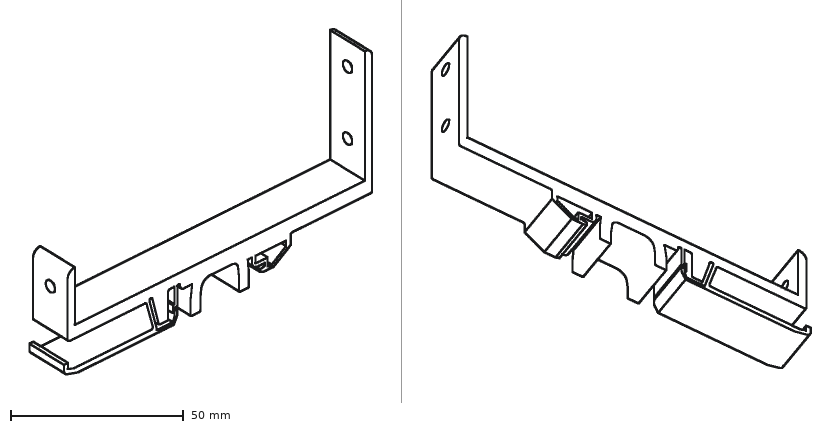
import cadquery as cq
import math


WIDTH = 15.0
LENGTH = 120.1
HEIGHT = 62.0
EMBED = 1.2

WALL = 2.9
BASE_TOP = 17.0
SHORT_WALL_Y = 1.5
SHORT_WALL_TOP = 37.0
WALL_TOP_R = 2.8
FRONT_CORNER_R = 0.8
REAR_CORNER_R = 0.6

FRONT_UNDERSIDE = 12.4
MIDDLE_UNDERSIDE = 10.9
JAW_ROOT = 9.8
REAR_UNDERSIDE = 11.6
MIDDLE_EDGE_R = 1.3

HOLE_D = 4.0
HOLE_HEIGHTS = (28.0, 53.0)

JAW_OUTER_Y = 88.4
JAW_INNER_Y = 73.3
JAW_BOTTOM = 2.9
JAW_SHELF_BOTTOM = 5.8
JAW_KNEE = 7.6
JAW_BEND_R = 2.2
JAW_SKIN = 1.5
JAW_NOSE_Y = (77.8, 81.7)
JAW_TIP_Y = 76.5
JAW_TIP_Z = (3.4, 4.3)
JAW_NECK = (78.3, 4.8)
JAW_WINDOW_Y = (79.4, 81.0, 86.6)
JAW_WINDOW_FLOOR = 4.0
JAW_WINDOW_KNEE = 7.9

LEG_KNEE = 5.2
LEG_TIP_R = 0.5
REAR_LEG = (68.2, 72.0)
REAR_LEG_TOP = (67.6, 71.7)
REAR_LEG_ROOT_R = 2.4
FRONT_LEG = (49.2, 53.2)
FRONT_LEG_TOP = (50.0, 53.9)
FRONT_LEG_ROOT_R = 3.6
LEG_ROOT_RUN = 4.8

STRIP_Y = 44.2
STRIP_SKIN = 1.1
RELIEF_WIDTH = 1.1
POCKET_TOP = 13.1
NOTCH_BOTTOM = 4.8
NOTCH_TOP = 5.8
BULGE_BOTTOM = 4.2
BULGE_TOP = 7.0
BULGE_DEPTH = 0.7
HEEL_TOP = 2.8
HEEL_Y = 42.8
HEEL_R = 2.4
LEVER_TOP = 2.2
LEVER_BEND_Y = 5.4
LEVER_RISE_Y = 3.8
LIP_THICKNESS = 1.6
LIP_TOP = 5.0
LIP_BEND_TOP = 2.9
LIP_BEND_R = 1.9
LIP_CORNER_Z = 1.6
SLOPED_STRIP_TOP_Y = 32.1
SLOPED_STRIP_FOOT_Y = 34.8
ROOT_R = 0.7
SLIT_R = 0.5
WEDGE_Y = 40.6
WEDGE_BOTTOM = 2.5
WEDGE_TIP_Y = 37.0
WEDGE_ROOT_Y = 34.3
WEDGE_EDGE_R = 0.4
SLIT_ROOT_Y = 33.1
POCKET_END_Y = 36.3
POCKET_HEEL_Y = 42.4


def profile(corners):
    """Extrude a closed Y-Z outline; a corner (y, z, r) is rounded with radius r."""
    runs = []
    for i, (y, z, *radius) in enumerate(corners):
        if not radius:
            runs.append([(y, z)])
            continue
        before = corners[i - 1]
        after = corners[(i + 1) % len(corners)]
        a = cq.Vector(before[0] - y, before[1] - z).normalized()
        b = cq.Vector(after[0] - y, after[1] - z).normalized()
        half = a.getAngle(b) / 2
        corner = cq.Vector(y, z)
        setback = radius[0] / math.tan(half)
        to_middle = radius[0] / math.sin(half) - radius[0]
        arc = (corner + a * setback, corner + (a + b).normalized() * to_middle, corner + b * setback)
        runs.append([(p.x, p.y) for p in arc])

    sketch = cq.Workplane("YZ").moveTo(*runs[0][-1])
    for run in runs[1:] + runs[:1]:
        sketch = sketch.lineTo(*run[0])
        if len(run) > 1:
            sketch = sketch.threePointArc(run[1], run[2])
    return sketch.close().extrude(WIDTH / 2, both=True)


def bracket():
    relief_y = STRIP_Y + RELIEF_WIDTH
    leg_y = sum(REAR_LEG_TOP) / 2
    return profile([
        (SHORT_WALL_Y + WALL, SHORT_WALL_TOP),
        (SHORT_WALL_Y + WALL, BASE_TOP),
        (LENGTH - WALL, BASE_TOP),
        (LENGTH - WALL, HEIGHT),
        (LENGTH, HEIGHT, WALL_TOP_R),
        (LENGTH, REAR_UNDERSIDE, REAR_CORNER_R),
        (JAW_OUTER_Y, REAR_UNDERSIDE, REAR_CORNER_R),
        (JAW_OUTER_Y, JAW_ROOT),
        (leg_y, JAW_ROOT),
        (leg_y, MIDDLE_UNDERSIDE),
        (relief_y, MIDDLE_UNDERSIDE, MIDDLE_EDGE_R),
        (relief_y, FRONT_UNDERSIDE),
        (SHORT_WALL_Y, FRONT_UNDERSIDE, FRONT_CORNER_R),
        (SHORT_WALL_Y, SHORT_WALL_TOP, WALL_TOP_R),
    ])


def jaw():
    nose_near, nose_far = JAW_NOSE_Y
    tip_bottom, tip_top = JAW_TIP_Z
    neck_y, neck_z = JAW_NECK
    body = profile([
        (JAW_OUTER_Y, JAW_ROOT + EMBED),
        (JAW_OUTER_Y, JAW_KNEE),
        (nose_far, JAW_BOTTOM),
        (nose_near, JAW_BOTTOM),
        (JAW_TIP_Y, tip_bottom),
        (JAW_TIP_Y, tip_top),
        (neck_y, neck_z),
        (neck_y, JAW_SHELF_BOTTOM),
        (JAW_INNER_Y, JAW_SHELF_BOTTOM, JAW_BEND_R),
        (JAW_INNER_Y, JAW_ROOT + EMBED),
    ])
    neck_side, floor_end, outer_side = JAW_WINDOW_Y
    shelf_top = JAW_SHELF_BOTTOM + JAW_SKIN
    inner_side = JAW_INNER_Y + JAW_SKIN
    window = profile([
        (outer_side, JAW_ROOT),
        (outer_side, JAW_WINDOW_KNEE),
        (floor_end, JAW_WINDOW_FLOOR),
        (neck_side, JAW_WINDOW_FLOOR),
        (neck_side, shelf_top),
        (inner_side, shelf_top),
        (inner_side, JAW_ROOT),
    ])
    return body.cut(window)


def rear_leg():
    near, far = REAR_LEG
    near_top, far_top = REAR_LEG_TOP
    root_end = near_top - LEG_ROOT_RUN
    return profile([
        (far_top, MIDDLE_UNDERSIDE + EMBED),
        (far_top, JAW_ROOT),
        (far, LEG_KNEE),
        (far, 0, LEG_TIP_R),
        (near, 0, LEG_TIP_R),
        (near, LEG_KNEE),
        (near_top, MIDDLE_UNDERSIDE, REAR_LEG_ROOT_R),
        (root_end, MIDDLE_UNDERSIDE),
        (root_end, MIDDLE_UNDERSIDE + EMBED),
    ])


def front_leg():
    near, far = FRONT_LEG
    near_top, far_top = FRONT_LEG_TOP
    root_end = far_top + LEG_ROOT_RUN
    return profile([
        (root_end, MIDDLE_UNDERSIDE + EMBED),
        (root_end, MIDDLE_UNDERSIDE),
        (far_top, MIDDLE_UNDERSIDE, FRONT_LEG_ROOT_R),
        (far, LEG_KNEE),
        (far, 0, LEG_TIP_R),
        (near, 0, LEG_TIP_R),
        (near, LEG_KNEE),
        (near_top, MIDDLE_UNDERSIDE),
        (near_top, MIDDLE_UNDERSIDE + EMBED),
    ])


def spring_foot():
    embed_top = POCKET_TOP + EMBED
    inner_y = STRIP_Y - STRIP_SKIN
    root_end = SLOPED_STRIP_TOP_Y - EMBED
    return profile([
        (STRIP_Y, embed_top),
        (STRIP_Y, NOTCH_TOP),
        (inner_y, NOTCH_TOP),
        (inner_y, NOTCH_BOTTOM),
        (STRIP_Y, NOTCH_BOTTOM),
        (STRIP_Y, HEEL_TOP, HEEL_R),
        (HEEL_Y, 0),
        (LEVER_BEND_Y, 0),
        (0, LIP_CORNER_Z, LIP_BEND_R),
        (0, LIP_TOP),
        (LIP_THICKNESS, LIP_TOP),
        (LIP_THICKNESS, LIP_BEND_TOP),
        (LEVER_RISE_Y, LEVER_TOP),
        (SLOPED_STRIP_FOOT_Y, LEVER_TOP, ROOT_R),
        (SLOPED_STRIP_TOP_Y, FRONT_UNDERSIDE, ROOT_R),
        (root_end, FRONT_UNDERSIDE),
        (root_end, embed_top),
    ])


def foot_pocket():
    """Hollow of the spring foot, leaving the wedge standing in it."""
    inner_y = STRIP_Y - STRIP_SKIN
    bulge_y = inner_y - BULGE_DEPTH
    return profile([
        (inner_y, POCKET_TOP),
        (WEDGE_Y, POCKET_TOP, ROOT_R),
        (WEDGE_Y, WEDGE_BOTTOM, WEDGE_EDGE_R),
        (WEDGE_TIP_Y, WEDGE_BOTTOM, WEDGE_EDGE_R),
        (WEDGE_ROOT_Y, POCKET_TOP, SLIT_R),
        (SLIT_ROOT_Y, POCKET_TOP, SLIT_R),
        (POCKET_END_Y, STRIP_SKIN),
        (POCKET_HEEL_Y, STRIP_SKIN),
        (inner_y, HEEL_TOP, HEEL_R),
        (inner_y, BULGE_BOTTOM),
        (bulge_y, BULGE_BOTTOM),
        (bulge_y, BULGE_TOP),
        (inner_y, BULGE_TOP),
    ])


def relief_slot():
    return profile([
        (STRIP_Y, MIDDLE_UNDERSIDE),
        (STRIP_Y, POCKET_TOP, SLIT_R),
        (STRIP_Y + RELIEF_WIDTH, POCKET_TOP, SLIT_R),
        (STRIP_Y + RELIEF_WIDTH, MIDDLE_UNDERSIDE),
    ])


def screw_holes():
    return (
        cq.Workplane("XZ")
        .pushPoints([(0, z) for z in HOLE_HEIGHTS])
        .circle(HOLE_D / 2)
        .extrude(-LENGTH)
    )


result = bracket()
for feature in (jaw(), rear_leg(), front_leg(), spring_foot()):
    result = result.union(feature)
for hollow in (foot_pocket(), relief_slot(), screw_holes()):
    result = result.cut(hollow)